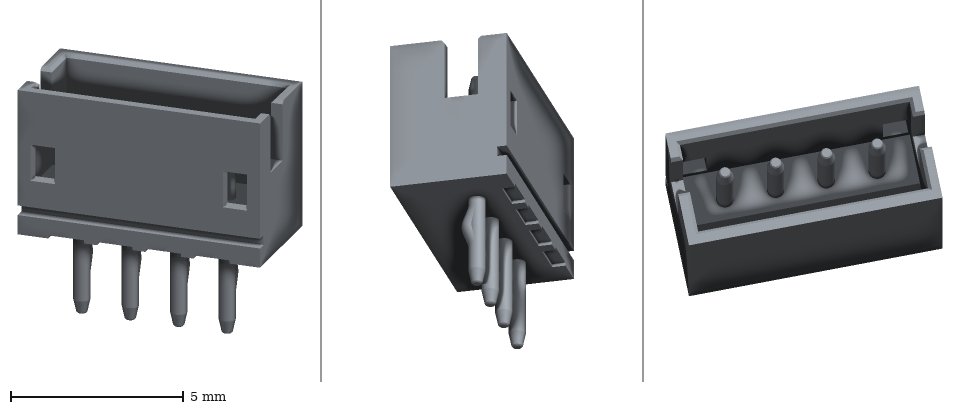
import cadquery as cq
import math


width = 7.5
depth = 3.5
height = 4.5
pin_to_front = 1.3
front_y = -pin_to_front
back_y = front_y + depth
side_wall = 0.35
end_wall = 0.4
rim_chamfer = 0.1

front_floor_z = 1.5
back_floor_z = 1.23
slope_top_y = 0.62
slope_foot_y = 0.88

slot_front_y = front_y + 0.87
slot_width = 1.0
slot_depth = 1.85

window_width = 0.75
window_height = 1.125
window_sill_z = 1.725
window_to_side = 0.4

groove_z = 0.6
groove_height = 0.3
groove_depth = 0.3

pin_count = 4
pitch = 1.5
pin_diameter = 0.5
pin_radius = pin_diameter / 2
pin_top_z = 3.9
pin_bottom_z = -2.7
taper_length = 0.43
tip_radius = 0.165
tip_chamfer = 0.04
pin_xs = [(i - (pin_count - 1) / 2) * pitch for i in range(pin_count)]

notch_width = 1.1
notch_height = 0.1
notch_depth = end_wall

kink_top_z = -0.2
kink_length = 1.32
kink_offset = 0.2
kink_end_trim = 0.015
tail_bend_radius = 0.54
crest_bend_radius = 0.3


def box(x_min, x_max, y_min, y_max, z_min, z_max):
    """Axis-aligned box between the given limits."""
    size = (x_max - x_min, y_max - y_min, z_max - z_min)
    return cq.Workplane("XY").box(*size, centered=False).translate((x_min, y_min, z_min))


def make_cavity():
    """Space inside the walls, down to the two floor levels and the slope between them."""
    inner_front_y = front_y + end_wall
    inner_back_y = back_y - end_wall
    inner_half_width = width / 2 - side_wall
    profile = [
        (inner_front_y, height),
        (inner_front_y, front_floor_z),
        (slope_top_y, front_floor_z),
        (slope_foot_y, back_floor_z),
        (inner_back_y, back_floor_z),
        (inner_back_y, height),
    ]
    return cq.Workplane("YZ").polyline(profile).close().extrude(inner_half_width, both=True)


def chamfer_rim(body):
    """Bevel the top edges along the cavity and the slots, but not the outer edges."""
    half_width = width / 2
    margin = side_wall / 4
    inside_outline = cq.selectors.BoxSelector(
        (margin - half_width, front_y + margin, height - margin),
        (half_width - margin, back_y - margin, height + margin),
    )
    return body.faces(">Z").edges(inside_outline).chamfer(rim_chamfer)


def make_housing(pins):
    half_width = width / 2
    body = box(-half_width, half_width, front_y, back_y, 0, height)
    body = body.cut(make_cavity())
    slot_back_y = slot_front_y + slot_width
    body = body.cut(box(-half_width, half_width, slot_front_y, slot_back_y, height - slot_depth, height))
    body = chamfer_rim(body)

    window_outer_x = half_width - window_to_side
    window_inner_x = window_outer_x - window_width
    window_top_z = window_sill_z + window_height
    for x_min in (-window_outer_x, window_inner_x):
        x_max = x_min + window_width
        body = body.cut(box(x_min, x_max, front_y, front_y + end_wall, window_sill_z, window_top_z))

    groove_top_z = groove_z + groove_height
    body = body.cut(box(-half_width, half_width, front_y, front_y + groove_depth, groove_z, groove_top_z))

    for x in pin_xs:
        x_min = x - notch_width / 2
        body = body.cut(box(x_min, x_min + notch_width, front_y, front_y + notch_depth, 0, notch_height))

    for pin in pins:
        body = body.cut(pin)
    return body.solids()


def make_pin(x):
    """Straight round pin, tapered at both ends."""
    chamfered_radius = tip_radius - tip_chamfer
    profile = [
        (0, pin_bottom_z),
        (chamfered_radius, pin_bottom_z),
        (tip_radius, pin_bottom_z + tip_chamfer),
        (pin_radius, pin_bottom_z + taper_length),
        (pin_radius, pin_top_z - taper_length),
        (tip_radius, pin_top_z - tip_chamfer),
        (chamfered_radius, pin_top_z),
        (0, pin_top_z),
    ]
    return cq.Workplane("YZ").polyline(profile).close().revolve(360, (0, 0), (0, 1)).translate((x, 0, 0))


def make_kink_path():
    """Centre line in the YZ plane: bend out, straight, bend over the crest, and the same back."""
    half_length = kink_length / 2
    middle_z = kink_top_z - half_length
    radius_sum = tail_bend_radius + crest_bend_radius
    centre_gap = radius_sum - kink_offset
    straight = math.sqrt(half_length**2 + centre_gap**2 - radius_sum**2)
    tilt = math.atan2(half_length, centre_gap) - math.atan2(straight, radius_sum)

    def tail_bend(angle):
        """Distance out, and height above the middle, on the bend next to the straight tail."""
        out = tail_bend_radius * (1 - math.cos(angle))
        return out, half_length - tail_bend_radius * math.sin(angle)

    def crest_bend(angle):
        """Distance out, and height above the middle, on the bend at the crest."""
        out = kink_offset - crest_bend_radius * (1 - math.cos(angle))
        return out, crest_bend_radius * math.sin(angle)

    def upper(point):
        return point[0], middle_z + point[1]

    def lower(point):
        return point[0], middle_z - point[1]

    return (
        cq.Workplane("YZ")
        .moveTo(0, kink_top_z)
        .threePointArc(upper(tail_bend(tilt / 2)), upper(tail_bend(tilt)))
        .lineTo(*upper(crest_bend(tilt)))
        .threePointArc(upper(crest_bend(0)), lower(crest_bend(tilt)))
        .lineTo(*lower(tail_bend(tilt)))
        .threePointArc(lower(tail_bend(tilt / 2)), (0, kink_top_z - kink_length))
    )


def make_kink(x, pin):
    """The part of the bowed wire that stands out of the back of the straight pin."""
    start = cq.Workplane("XY", origin=(0, 0, kink_top_z))
    wire = start.circle(pin_radius).sweep(make_kink_path())
    top_z = kink_top_z - kink_end_trim
    bottom_z = kink_top_z - kink_length + kink_end_trim
    reach = kink_offset + pin_diameter
    crest = wire.intersect(box(-pin_diameter, pin_diameter, 0, reach, bottom_z, top_z))
    return crest.translate((x, 0, 0)).cut(pin).solids()


pins = [make_pin(x) for x in pin_xs]
kinks = [make_kink(x, pin) for x, pin in zip(pin_xs, pins)]
housing = make_housing(pins)

result = cq.Compound.makeCompound(
    [housing.val()] + [pin.val() for pin in pins] + [kink.val() for kink in kinks]
)